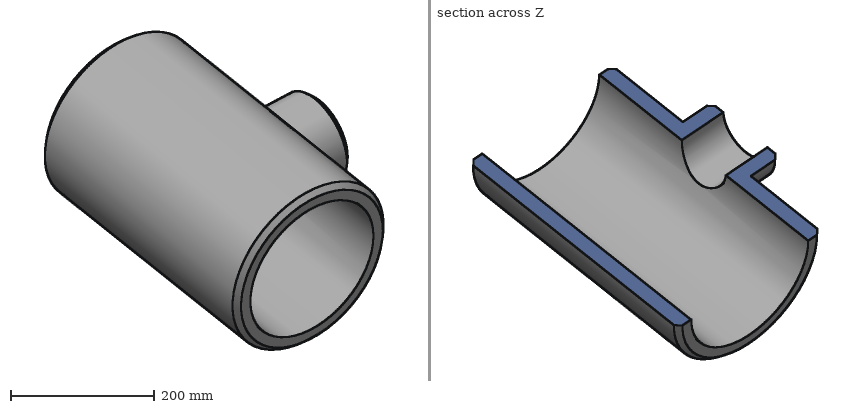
import cadquery as cq

wall = 25.4

run_length = 431.8
run_radius = 273.05 / 2
run_bore_radius = run_radius - wall

branch_reach = 190.5
branch_radius = 141.3 / 2
branch_bore_radius = branch_radius - wall

bevel = wall / 3


def run_body():
    """Solid run along X, bevelled at both ends."""
    cylinder = cq.Workplane("YZ").circle(run_radius).extrude(run_length / 2, both=True)
    return cylinder.faces("<X or >X").chamfer(bevel)


def branch_body():
    """Solid branch from the run axis to its bevelled end."""
    cylinder = cq.Workplane("XZ").circle(branch_radius).extrude(-branch_reach)
    return cylinder.faces(">Y").chamfer(bevel)


def run_bore():
    """Bore through the whole run."""
    return cq.Workplane("YZ").circle(run_bore_radius).extrude(run_length / 2, both=True)


def branch_bore():
    """Bore from the branch end into the run bore."""
    return cq.Workplane("XZ").circle(branch_bore_radius).extrude(-branch_reach)


result = run_body().union(branch_body()).cut(run_bore()).cut(branch_bore())